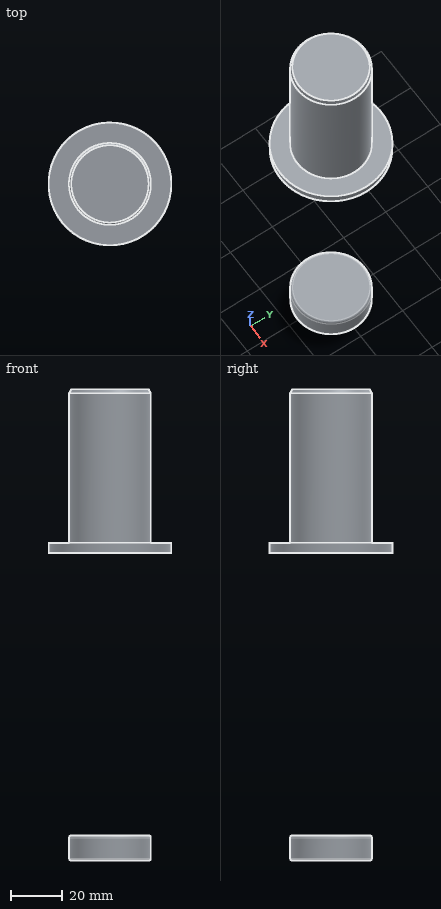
import cadquery as cq

overall_height = 184.0
shaft_diameter = 32.0
shaft_length = 60.0
flange_diameter = 48.0
flange_thickness = 4.0
disc_thickness = 10.0
shaft_chamfer_height = 1.7
shaft_chamfer_inset = 1.0
disc_rim_radius = 1.0

flange_bottom = overall_height - shaft_length - flange_thickness


def cylinder(diameter, height, bottom):
    """Upright cylinder on the Z axis, starting at the given height."""
    return cq.Workplane("XY", origin=(0, 0, bottom)).circle(diameter / 2).extrude(height)


def make_headed_pin():
    """Round shaft with a thin flange at its foot and a steeply chamfered top edge."""
    shaft = cylinder(shaft_diameter, shaft_length, flange_bottom + flange_thickness)
    shaft = shaft.faces(">Z").chamfer(shaft_chamfer_height, shaft_chamfer_inset)
    flange = cylinder(flange_diameter, flange_thickness, flange_bottom)
    return flange.union(shaft)


def make_disc():
    """Short disc of the shaft's diameter, rounded on both rims."""
    disc = cylinder(shaft_diameter, disc_thickness, 0)
    return disc.faces("<Z or >Z").fillet(disc_rim_radius)


headed_pin = make_headed_pin()
disc = make_disc()

result = cq.Compound.makeCompound([headed_pin.val(), disc.val()])